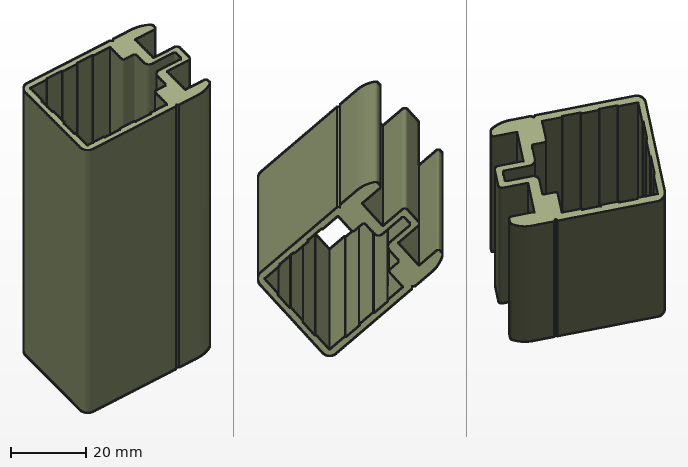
import cadquery as cq
import math

length = 100.0
width = 30.0
height = 43.0
half_width = width / 2
corner_radius = 2.5

wall = 2.0
chamber_top = 28.0
chamber_half = half_width - wall
chamber_middle = (wall + chamber_top) / 2

relief_width = 5.0
relief_depth = 0.3
relief_offset = 5.0

step_half = 7.1
step_top = 32.0
step_radius = 0.5
step_edge_radius = 0.5
slot_half = 1.5
slot_top = height - wall
slot_tip_radius = 0.5
slot_mouth_radius = 1.6

rib_half = 3.1
rib_radius = 1.0
channel_floor = 35.1

finger_top = 42.0
finger_inner = 11.4
finger_inner_radius = 0.6
finger_curve_start = 36.4
finger_curve_radius = 10.0
tip_radius = 1.0

curve_center_x = half_width - finger_curve_radius
center_distance = finger_curve_radius - tip_radius
tip_rise = finger_top - tip_radius - finger_curve_start
tip_run = math.sqrt(center_distance**2 - tip_rise**2)
tip_flat_x = curve_center_x + tip_run
shoulder_x = curve_center_x + tip_run * finger_curve_radius / center_distance
shoulder_y = finger_curve_start + tip_rise * finger_curve_radius / center_distance

groove_y = 30.0
groove_width = 1.0
groove_depth = 0.5


def block(x_min, x_max, y_min, y_max):
    """Full-length block with the given cross-section limits."""
    return (
        cq.Workplane("XY")
        .center((x_min + x_max) / 2, (y_min + y_max) / 2)
        .rect(x_max - x_min, y_max - y_min)
        .extrude(length)
    )


def half_body():
    """Solid right half: side wall, finger, channel floor and half the rib."""
    outline = (
        cq.Workplane("XY")
        .lineTo(half_width - corner_radius, 0)
        .radiusArc((half_width, corner_radius), -corner_radius)
        .lineTo(half_width, groove_y - groove_width / 2)
        .lineTo(half_width - groove_depth, groove_y)
        .lineTo(half_width, groove_y + groove_width / 2)
        .lineTo(half_width, finger_curve_start)
        .radiusArc((shoulder_x, shoulder_y), -finger_curve_radius)
        .radiusArc((tip_flat_x, finger_top), -tip_radius)
        .lineTo(finger_inner + finger_inner_radius, finger_top)
        .radiusArc((finger_inner, finger_top - finger_inner_radius), -finger_inner_radius)
        .lineTo(finger_inner, channel_floor)
        .lineTo(rib_half, channel_floor)
        .lineTo(rib_half, height - rib_radius)
        .radiusArc((rib_half - rib_radius, height), -rib_radius)
        .lineTo(0, height)
        .close()
    )
    return outline.extrude(length)


def half_cavity():
    """Right half of the chamber, its stepped roof and the rib slot."""
    outline = (
        cq.Workplane("XY")
        .moveTo(0, wall)
        .lineTo(chamber_half, wall)
        .lineTo(chamber_half, chamber_top)
        .lineTo(step_half + step_edge_radius, chamber_top)
        .radiusArc((step_half, chamber_top + step_edge_radius), step_edge_radius)
        .lineTo(step_half, step_top - step_radius)
        .radiusArc((step_half - step_radius, step_top), -step_radius)
        .lineTo(slot_half + slot_mouth_radius, step_top)
        .radiusArc((slot_half, step_top + slot_mouth_radius), slot_mouth_radius)
        .lineTo(slot_half, slot_top - slot_tip_radius)
        .radiusArc((slot_half - slot_tip_radius, slot_top), -slot_tip_radius)
        .lineTo(0, slot_top)
        .close()
    )
    return outline.extrude(length)


def half_reliefs():
    """Relief grooves of the right half: two in the side wall, one in the floor."""
    half = relief_width / 2
    reliefs = block(relief_offset - half, relief_offset + half, wall - relief_depth, wall)
    for y in (chamber_middle - relief_offset, chamber_middle + relief_offset):
        side_relief = block(chamber_half, chamber_half + relief_depth, y - half, y + half)
        reliefs = reliefs.add(side_relief)
    return reliefs.combine()


right_half = half_body().cut(half_cavity()).cut(half_reliefs())
result = right_half.union(right_half.mirror("YZ")).clean()